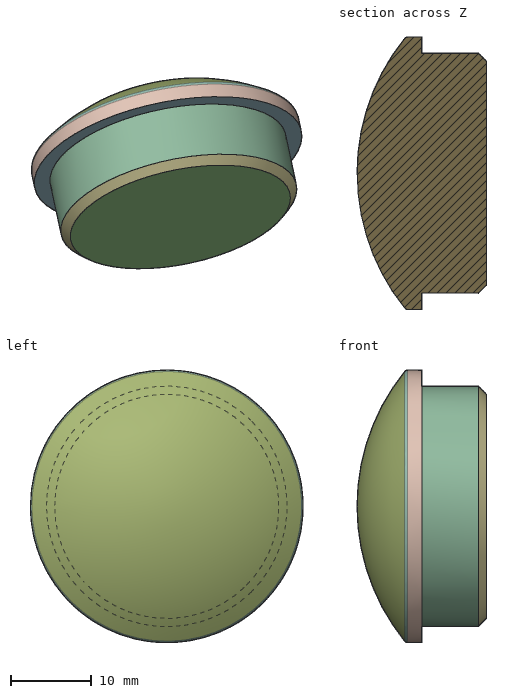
import cadquery as cq

head_diameter = 33.7
barrel_diameter = 29.72
barrel_length = 8.0
flange_thickness = 2.0
dome_height = 6.03
rim_fillet = 0.5
end_chamfer = 1.0

head_radius = head_diameter / 2
barrel_radius = barrel_diameter / 2

flange_front = dome_height
flange_back = flange_front + flange_thickness
barrel_end = flange_back + barrel_length

sphere_radius = (head_radius**2 + dome_height**2) / (2 * dome_height)
mid_dome_radius = head_radius / 2
mid_dome_x = sphere_radius - (sphere_radius**2 - mid_dome_radius**2) ** 0.5

profile = (
    cq.Workplane("XY")
    .moveTo(0, 0)
    .threePointArc((mid_dome_x, mid_dome_radius), (flange_front, head_radius))
    .lineTo(flange_back, head_radius)
    .lineTo(flange_back, barrel_radius)
    .lineTo(barrel_end, barrel_radius)
    .lineTo(barrel_end, 0)
    .close()
)
plug = profile.revolve(360, (0, 0, 0), (1, 0, 0))

rim_position = cq.selectors.BoxSelector(
    (flange_front - rim_fillet, -head_diameter, -head_diameter),
    (flange_front + rim_fillet, head_diameter, head_diameter),
    boundingbox=True,
)
plug = plug.edges("%CIRCLE").edges(rim_position).fillet(rim_fillet)

result = plug.faces(">X").edges().chamfer(end_chamfer)